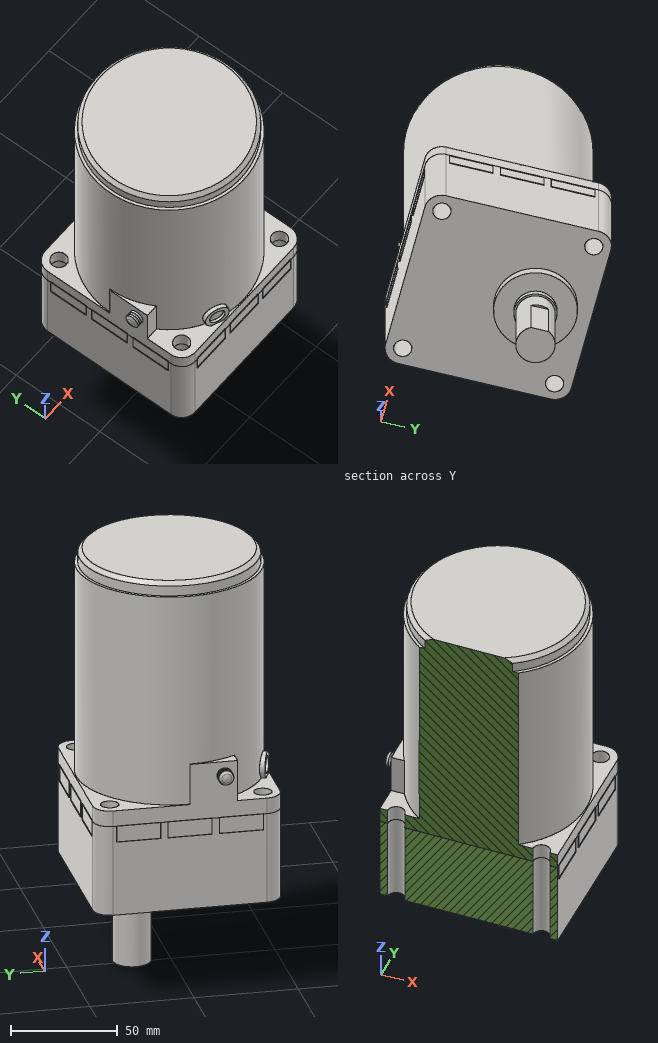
import cadquery as cq
import math

overall_height = 207.0
body_width = 90.0
corner_radius = 8.0
half_width = body_width / 2

shaft_length = 42.0
gear_case_height = 45.0
shaft_offset_y = 18.0
shaft_diameter = 18.5
shaft_flat_depth = 1.0
shaft_flat_length = 24.0
collar_diameter = 20.3
collar_height = 3.1
boss_diameter = 39.3
boss_height = 5.0

window_count = 3
window_width = 21.1
window_pitch = 24.6
window_height = 8.0
window_depth = 0.31

hole_diameter = 8.5
hole_spacing = 73.5

flange_height = 7.9
can_diameter = 89.0
cap_diameter = 86.0
cap_height = 7.0
cap_chamfer = 2.0

block_length = 22.8
block_height = 20.3
screw_y = -16.5
screw_height = 13.5
washer_diameter = 7.2
spring_washer_diameter = 6.8
washer_thickness = 1.2
screw_head_side = 1.2
screw_head_bevel = 0.8
screw_dome_diameter = 4.5
screw_dome_height = 0.5

outlet_angle = 22.5
outlet_reach = 46.5
outlet_diameter = 12.8
outlet_bore_diameter = 8.3
outlet_bore_depth = 1.5
outlet_height = 5.5

case_bottom = shaft_length
case_top = case_bottom + gear_case_height
flange_top = case_top + flange_height
can_top = overall_height - cap_height


def square_plate(bottom, height):
    """Rounded square plate with the four mounting holes."""
    return (
        cq.Workplane("XY", origin=(0, 0, bottom))
        .rect(body_width, body_width)
        .extrude(height)
        .edges("|Z")
        .fillet(corner_radius)
        .faces(">Z")
        .workplane()
        .rect(hole_spacing, hole_spacing, forConstruction=True)
        .vertices()
        .hole(hole_diameter)
    )


def disc(diameter, bottom, height, y=0.0):
    """Upright cylinder standing on the level `bottom`."""
    return cq.Workplane("XY", origin=(0, y, bottom)).circle(diameter / 2).extrude(height)


def window_cutters():
    """Blocks that cut the row of recesses into each of the four sides."""
    first = -(window_count - 1) / 2 * window_pitch
    window_bottom = case_top - window_height
    cutters = cq.Workplane("XY")
    for side in range(4):
        for index in range(window_count):
            window_x = first + index * window_pitch
            cutter = (
                cq.Workplane("XY", origin=(window_x, -half_width, window_bottom))
                .rect(window_width, 2 * window_depth)
                .extrude(window_height)
                .rotate((0, 0, 0), (0, 0, 1), 90 * side)
            )
            cutters = cutters.add(cutter)
    return cutters.combine()


def output_shaft():
    """Shaft with a flat on its +X side, running from the tip to the mounting face."""
    shaft = disc(shaft_diameter, 0, case_bottom, shaft_offset_y)
    flat_x = shaft_diameter / 2 - shaft_flat_depth
    flat = (
        cq.Workplane("XY", origin=(flat_x, shaft_offset_y, 0))
        .rect(shaft_diameter, shaft_diameter)
        .extrude(shaft_flat_length)
        .translate((shaft_diameter / 2, 0, 0))
    )
    return shaft.cut(flat)


def make_gearhead():
    """Gear case with its offset boss, collar and output shaft."""
    boss_bottom = case_bottom - boss_height
    boss = disc(boss_diameter, boss_bottom, boss_height, shaft_offset_y)
    collar = disc(collar_diameter, boss_bottom - collar_height, collar_height, shaft_offset_y)
    case = square_plate(case_bottom, gear_case_height).cut(window_cutters())
    return case.union(boss).union(collar).union(output_shaft())


def terminal_block():
    """Block flush with the -X side of the flange, reaching in to the can."""
    return (
        cq.Workplane("XY", origin=(-half_width, -block_length, flange_top))
        .rect(half_width, block_length, centered=False)
        .extrude(block_height)
    )


def earth_screw():
    """Washer, spring washer and domed head, turned about an axis along X."""
    washer_radius = washer_diameter / 2
    spring_radius = spring_washer_diameter / 2
    head_start = 2 * washer_thickness
    bevel_start = head_start + screw_head_side
    dome_start = bevel_start + screw_head_bevel
    tip = dome_start + screw_dome_height
    dome_radius = screw_dome_diameter / 2
    sphere_radius = (dome_radius**2 + screw_dome_height**2) / (2 * screw_dome_height)
    return (
        cq.Workplane("XY", origin=(-half_width, screw_y, flange_top + screw_height))
        .lineTo(0, washer_radius)
        .lineTo(-washer_thickness, washer_radius)
        .lineTo(-washer_thickness, spring_radius)
        .lineTo(-head_start, spring_radius)
        .lineTo(-head_start, washer_radius)
        .lineTo(-bevel_start, washer_radius)
        .lineTo(-dome_start, dome_radius)
        .radiusArc((-tip, 0), -sphere_radius)
        .close()
        .revolve(360, (0, 0, 0), (1, 0, 0))
    )


def cable_outlet_plane(distance):
    """Plane facing out of the can through the outlet axis, `distance` from the can axis."""
    angle = math.radians(outlet_angle)
    outward = cq.Vector(-math.sin(angle), -math.cos(angle), 0)
    centre = outward * distance + cq.Vector(0, 0, flange_top + outlet_height)
    return cq.Plane(origin=centre, xDir=(math.cos(angle), -math.sin(angle), 0), normal=outward)


def add_cable_outlet(motor):
    """Join the outlet ring to the can and flange and sink its blind bore."""
    root = can_diameter / 4
    ring = (
        cq.Workplane(cable_outlet_plane(root))
        .circle(outlet_diameter / 2)
        .extrude(outlet_reach - root)
    )
    bore = (
        cq.Workplane(cable_outlet_plane(outlet_reach))
        .circle(outlet_bore_diameter / 2)
        .extrude(-outlet_bore_depth)
    )
    return motor.union(ring).cut(bore)


def make_motor():
    """Motor flange, can and end cap with the terminal block, earth screw and cable outlet."""
    flange = square_plate(case_top, flange_height)
    can = disc(can_diameter, flange_top, can_top - flange_top)
    cap = disc(cap_diameter, can_top, cap_height).faces(">Z").chamfer(cap_chamfer)
    motor = flange.union(can).union(cap).union(terminal_block()).union(earth_screw())
    return add_cable_outlet(motor)


gearhead = make_gearhead()
motor = make_motor()
result = cq.Compound.makeCompound([gearhead.val(), motor.val()])